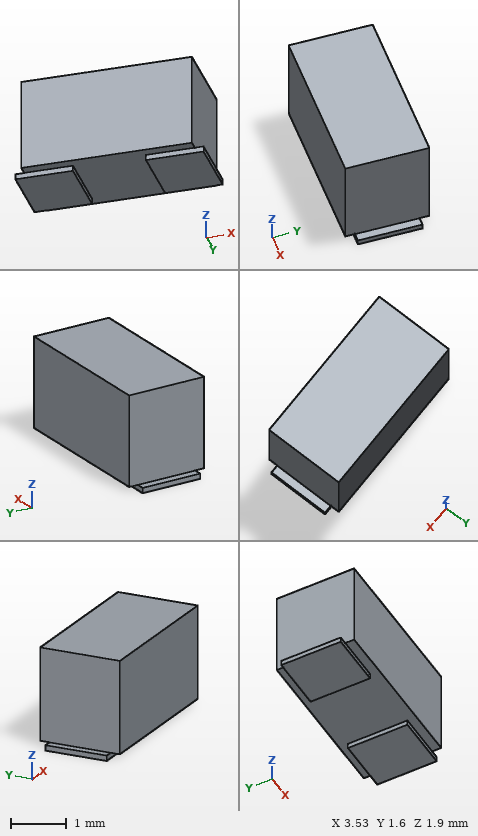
import cadquery as cq

overall_length = 3.53
overall_height = 1.9

housing_length = 3.2
housing_width = 1.6

terminal_length = 1.08
terminal_width = 1.23
terminal_thickness = 0.105

housing_height = overall_height - terminal_thickness
terminal_offset = (overall_length - terminal_length) / 2


def make_housing():
    """Plain block resting on top of the terminals."""
    return (
        cq.Workplane("XY")
        .workplane(offset=terminal_thickness)
        .rect(housing_length, housing_width)
        .extrude(housing_height)
    )


def make_terminal(side):
    """Flat plate at the -X end (side = -1) or the +X end (side = 1)."""
    return (
        cq.Workplane("XY")
        .center(side * terminal_offset, 0)
        .rect(terminal_length, terminal_width)
        .extrude(terminal_thickness)
    )


housing = make_housing()
terminals = [make_terminal(side) for side in (-1, 1)]

result = cq.Compound.makeCompound(
    [housing.val(), *[terminal.val() for terminal in terminals]]
)